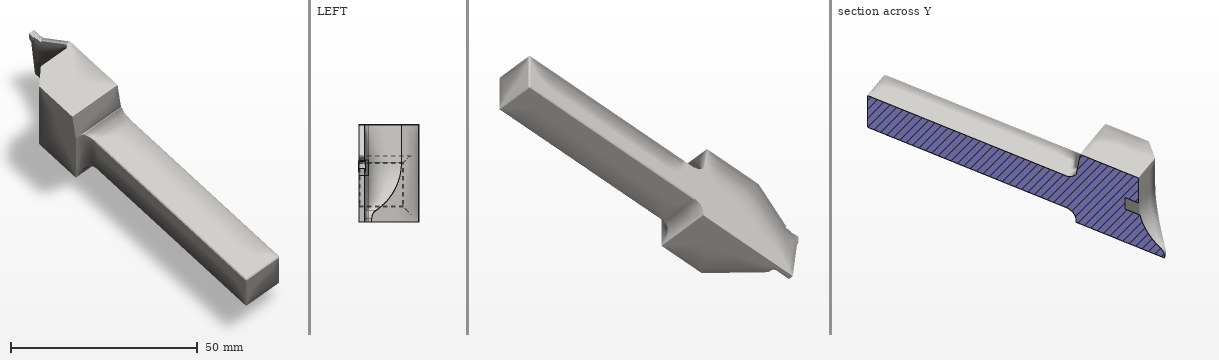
import cadquery as cq
import math

total_length = 100.0

head_depth = 16.1
head_height = 26.1
head_rear_x = 35.4
head_top_rear_x = 34.0
rear_slant_z = 17.7
bevel_end_x = 20.5

blade_thickness = 1.5
blade_bottom_x = 2.1
clamp_top_x = 14.8
clamp_nose_x = 4.9
clamp_nose_z = 17.5
clamp_lip_x = 4.5
clamp_lip_z = 17.1

wall_x = 15.8
scoop_radius = 15.4
scoop_center_z = 15.9
scoop_sweep = 56.1
toe_radius = 2.6
pocket_fillet = 1.1

shank_size = 12.0
shank_bottom_z = 4.0
shank_chamfer = 0.3
cove_radius = 3.0

clearance = 5.0

seat_bottom_z = 12.5
seat_top_z = 16.6
insert_front_x = 0.6
insert_end_x = 20.0
tip_top_z = 16.3
tip_land_z = 14.3
cutting_land_length = 1.2
chip_groove_depth = 0.1
ramp_start_x = 2.7
ramp_end_x = 3.3
tip_length = 1.8
tip_side_z = 14.8
tip_heel_x = 0.4
tip_heel_z = 13.6
tip_overhang_back = 0.1
tip_overhang_front = 0.3


def make_head():
    side = (cq.Workplane("XZ").polyline([
        (blade_bottom_x, 0), (insert_front_x, seat_bottom_z),
        (clamp_nose_x, seat_top_z), (clamp_lip_x, clamp_lip_z), (clamp_nose_x, clamp_nose_z),
        (clamp_top_x, head_height), (head_top_rear_x, head_height),
        (head_rear_x, rear_slant_z), (head_rear_x, 0),
    ]).close().extrude(head_depth))
    bevel_back_x = bevel_end_x - (head_depth - blade_thickness)
    plan = (cq.Workplane("XY").polyline([
        (0, 0), (0, -blade_thickness), (bevel_back_x, -blade_thickness),
        (bevel_end_x, -head_depth), (head_rear_x, -head_depth), (head_rear_x, 0),
    ]).close().extrude(head_height))
    return side.intersect(plan)


def make_scoop():
    """Sharp-edged volume removed in front of the blade."""
    center_x = wall_x - scoop_radius

    def scoop_point(angle):
        a = math.radians(angle)
        return center_x + scoop_radius * math.cos(a), scoop_center_z - scoop_radius * math.sin(a)

    sweep = math.radians(scoop_sweep)
    toe_center_x = center_x + (scoop_radius + toe_radius) * math.cos(sweep)
    toe_center_z = scoop_center_z - (scoop_radius + toe_radius) * math.sin(sweep)
    toe_mid = math.pi - sweep / 2
    outline = (cq.Workplane("XZ", origin=(0, -blade_thickness, 0))
               .moveTo(-clearance, head_height + clearance)
               .lineTo(wall_x, head_height + clearance)
               .lineTo(wall_x, scoop_center_z)
               .threePointArc(scoop_point(scoop_sweep / 2), scoop_point(scoop_sweep))
               .threePointArc((toe_center_x + toe_radius * math.cos(toe_mid),
                               toe_center_z + toe_radius * math.sin(toe_mid)),
                              (toe_center_x - toe_radius, toe_center_z))
               .lineTo(toe_center_x - toe_radius, -clearance)
               .lineTo(-clearance, -clearance)
               .close())
    return outline.extrude(head_depth)


def make_shank():
    length = total_length - head_rear_x
    shank = (cq.Workplane("XY")
             .box(length, shank_size, shank_size, centered=False)
             .translate((head_rear_x, -shank_size, shank_bottom_z)))
    return shank.edges("|X").chamfer(shank_chamfer).faces(">X").chamfer(shank_chamfer)


def make_flare():
    """Coved transition from head to shank on the top, bottom and front sides."""
    end_x = head_rear_x + cove_radius
    mid = cove_radius * (1 - math.sqrt(0.5))
    top_z = shank_bottom_z + shank_size
    low_z = shank_bottom_z - cove_radius
    side = (cq.Workplane("XZ")
            .moveTo(head_rear_x, low_z)
            .threePointArc((head_rear_x + mid, shank_bottom_z - mid), (end_x, shank_bottom_z))
            .lineTo(end_x, top_z)
            .threePointArc((head_rear_x + mid, top_z + mid), (head_rear_x, top_z + cove_radius))
            .close().extrude(head_depth))
    front_y = -shank_size
    plan = (cq.Workplane("XY")
            .moveTo(head_rear_x, 0)
            .lineTo(end_x, 0)
            .lineTo(end_x, front_y)
            .threePointArc((head_rear_x + mid, front_y - mid), (head_rear_x, front_y - cove_radius))
            .close().extrude(rear_slant_z))
    return side.intersect(plan)


def make_seat():
    """Slot for the insert, running past the pocket wall and in front of the insert face."""
    depth = blade_thickness + pocket_fillet
    return (cq.Workplane("XY")
            .box(insert_end_x, depth, seat_top_z - seat_bottom_z, centered=False)
            .translate((0, -depth, seat_bottom_z)))


def make_holder():
    pocket = make_scoop().faces(">Y").edges().fillet(pocket_fillet)
    head = make_head().cut(pocket).cut(make_seat())
    return head.union(make_flare()).union(make_shank())


def make_insert():
    groove_z = tip_top_z - chip_groove_depth
    bar = (cq.Workplane("XZ").polyline([
        (insert_front_x, seat_bottom_z), (0, tip_land_z), (0, tip_top_z),
        (cutting_land_length, tip_top_z), (cutting_land_length, groove_z),
        (ramp_start_x, groove_z), (ramp_end_x, seat_top_z),
        (insert_end_x, seat_top_z), (insert_end_x, seat_bottom_z),
    ]).close().extrude(blade_thickness))
    tip = (cq.Workplane("XZ", origin=(0, tip_overhang_back, 0))
           .moveTo(0, tip_top_z)
           .lineTo(cutting_land_length, tip_top_z)
           .lineTo(cutting_land_length, groove_z)
           .lineTo(tip_length, groove_z)
           .lineTo(tip_length, tip_side_z)
           .lineTo(tip_heel_x, tip_heel_z)
           .lineTo(0, tip_land_z)
           .close()
           .extrude(tip_overhang_back + blade_thickness + tip_overhang_front))
    return bar.union(tip)


holder = make_holder()
insert = make_insert()
result = cq.Compound.makeCompound([*holder.solids().vals(), *insert.solids().vals()])